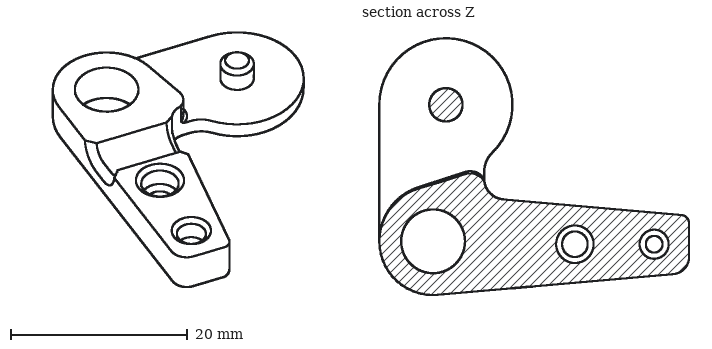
import math

import cadquery as cq

total_height = 5.25
plate_thickness = 2.45
bottom_fillet = 1.0

pivot_radius = 6.1
pivot_bore_diameter = 7.2
pivot_bore_chamfer = 0.5

lobe_radius = 7.55
lobe_x = lobe_radius - pivot_radius
lobe_y = 15.45
pin_diameter = 3.8
pin_chamfer = 0.55

neck_x = 5.8
neck_lobe_fillet = 3.0
neck_arm_fillet = 2.3

arm_end_x = 29.0
arm_side_angle = 5.0
arm_axis_y = -0.33
arm_upper_corner = 1.0
arm_lower_corner = 2.0

step_angle = 16.0
step_corner_x = 3.65
step_end_y = 6.67

flare_height = 0.4
flare_radius = pivot_radius + 0.35
flare_angle = 18.0
flare_end_y = 6.98

groove_x = 10.13
groove_width = 5.0
groove_depth = 1.7
groove_lower_chamfer = 0.95
groove_upper_chamfer = 0.7

arm_holes = [
    (16.05, 5.45, 4.25, 2.9),
    (25.02, 4.45, 3.3, 1.9),
]
countersink_depth = 0.5
bore_bottom_depth = 2.6
floor_depth = 3.1

overrun = 10.0


def circle_point(center_x, center_y, radius, degrees):
    """Point on a circle at an angle measured from +X."""
    angle = math.radians(degrees)
    return center_x + radius * math.cos(angle), center_y + radius * math.sin(angle)


def make_blank():
    """Full-height body with the outline of the whole part."""
    side_slope = math.tan(math.radians(arm_side_angle))
    pivot_tangent = circle_point(0, 0, pivot_radius, arm_side_angle - 90)
    lower_end_y = pivot_tangent[1] + side_slope * (arm_end_x - pivot_tangent[0])
    upper_end_y = 2 * arm_axis_y - lower_end_y
    neck_arm_y = upper_end_y + side_slope * (arm_end_x - neck_x)
    neck_lobe_y = lobe_y - math.sqrt(lobe_radius**2 - (neck_x - lobe_x) ** 2)
    blank = (
        cq.Workplane("XY")
        .moveTo(*pivot_tangent)
        .lineTo(arm_end_x, lower_end_y)
        .lineTo(arm_end_x, upper_end_y)
        .lineTo(neck_x, neck_arm_y)
        .lineTo(neck_x, neck_lobe_y)
        .threePointArc((lobe_x, lobe_y + lobe_radius), (-pivot_radius, lobe_y))
        .lineTo(-pivot_radius, 0)
        .threePointArc(circle_point(0, 0, pivot_radius, -135), pivot_tangent)
        .close()
        .extrude(total_height)
    )
    corners = [
        (neck_x, neck_lobe_y, neck_lobe_fillet),
        (neck_x, neck_arm_y, neck_arm_fillet),
        (arm_end_x, upper_end_y, arm_upper_corner),
        (arm_end_x, lower_end_y, arm_lower_corner),
    ]
    for x, y, radius in corners:
        corner_edge = cq.selectors.NearestToPointSelector((x, y, total_height / 2))
        blank = blank.edges("|Z").edges(corner_edge).fillet(radius)
    return blank.faces("<Z").edges().fillet(bottom_fillet)


def step_outline(z, arc_radius, line_angle, end_y):
    """Outline at height z around everything on the pivot side of the step.

    The step runs as an arc from the -X side of the pivot, a straight line
    at line_angle and a rounded corner that ends on the neck.
    """
    arc_x = arc_radius - pivot_radius
    arc_end = circle_point(arc_x, 0, arc_radius, 90 + line_angle)
    arc_middle = circle_point(arc_x, 0, arc_radius, 135 + line_angle / 2)
    line_slope = math.tan(math.radians(line_angle))
    corner_y = arc_end[1] + (step_corner_x - arc_end[0]) * line_slope
    right = arm_end_x + overrun
    left_and_bottom = -pivot_radius - overrun
    return (
        cq.Workplane("XY", origin=(0, 0, z))
        .moveTo(-pivot_radius, 0)
        .threePointArc(arc_middle, arc_end)
        .lineTo(step_corner_x, corner_y)
        .tangentArcPoint((neck_x, end_y), relative=False)
        .lineTo(right, end_y)
        .lineTo(right, left_and_bottom)
        .lineTo(left_and_bottom, left_and_bottom)
        .lineTo(left_and_bottom, 0)
        .close()
    )


def add_step(blank):
    """Lower the lobe to the plate thickness, leaving the flared step."""
    plate = blank.intersect(
        cq.Workplane("XY").circle(2 * arm_end_x).extrude(plate_thickness)
    )
    raised = step_outline(0, pivot_radius, step_angle, step_end_y).extrude(total_height)
    flare_bottom = step_outline(plate_thickness, flare_radius, flare_angle, flare_end_y)
    flare_top = step_outline(
        plate_thickness + flare_height, pivot_radius, step_angle, step_end_y
    )
    flare = cq.Workplane(cq.Solid.makeLoft([flare_bottom.val(), flare_top.val()], True))
    return plate.union(blank.intersect(raised)).union(blank.intersect(flare))


def cut_groove(body):
    """Cut the round-bottomed groove along Y and chamfer both of its mouths."""
    half_width = groove_width / 2
    half_flat = half_width - groove_depth
    groove = (
        cq.Workplane("XZ", origin=(groove_x, 0, total_height))
        .moveTo(-half_width, 0)
        .radiusArc((-half_flat, -groove_depth), -groove_depth)
        .lineTo(half_flat, -groove_depth)
        .radiusArc((half_width, 0), -groove_depth)
        .close()
        .extrude(overrun, both=True)
    )
    body = body.cut(groove)
    mouths = [
        (-overrun, arm_axis_y, groove_lower_chamfer),
        (arm_axis_y, overrun, groove_upper_chamfer),
    ]
    margin = 0.1
    for y_min, y_max, chamfer in mouths:
        mouth_box = cq.selectors.BoxSelector(
            (groove_x - half_width - margin, y_min, total_height - groove_depth - margin),
            (groove_x + half_width + margin, y_max, total_height - margin),
        )
        body = body.edges(mouth_box).edges("not(|Y)").chamfer(chamfer)
    return body


def cut_pivot_bore(body):
    """Cut the through bore and chamfer its lower rim."""
    bore_radius = pivot_bore_diameter / 2
    bore = cq.Workplane("XY").circle(bore_radius).extrude(total_height)
    rim = cq.Workplane(
        cq.Solid.makeCone(bore_radius + pivot_bore_chamfer, bore_radius, pivot_bore_chamfer)
    )
    return body.cut(bore).cut(rim)


def cut_arm_hole(body, x, countersink_diameter, bore_diameter, floor_diameter):
    """Cut a countersunk blind hole with a conical transition to a flat floor."""
    half_profile = [
        (0, 0),
        (countersink_diameter / 2, 0),
        (bore_diameter / 2, -countersink_depth),
        (bore_diameter / 2, -bore_bottom_depth),
        (floor_diameter / 2, -floor_depth),
        (0, -floor_depth),
    ]
    hole = (
        cq.Workplane("XZ", origin=(x, arm_axis_y, total_height))
        .polyline(half_profile)
        .close()
        .revolve(360, (0, 0, 0), (0, 1, 0))
    )
    return body.cut(hole)


def add_pin(body):
    """Stand the chamfered pin on the lobe, level with the top of the arm."""
    pin = (
        cq.Workplane("XY", origin=(lobe_x, lobe_y, plate_thickness))
        .circle(pin_diameter / 2)
        .extrude(total_height - plate_thickness)
        .faces(">Z")
        .chamfer(pin_chamfer)
    )
    return body.union(pin)


part = add_step(make_blank())
part = cut_groove(part)
part = cut_pivot_bore(part)
for arm_hole in arm_holes:
    part = cut_arm_hole(part, *arm_hole)
result = add_pin(part)